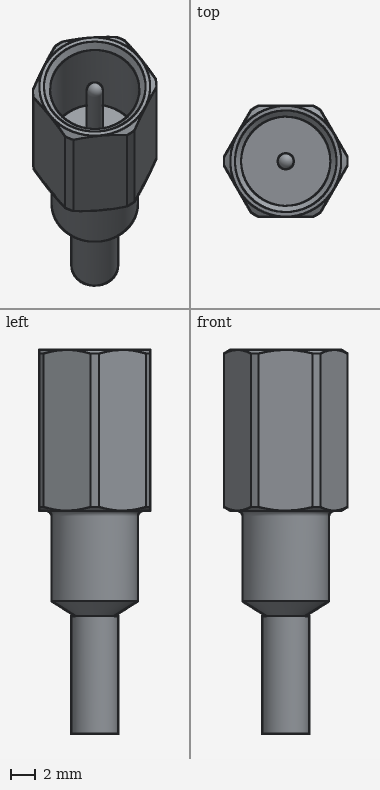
import cadquery as cq
import math

total_length = 31.0
cable_length = 9.5
cone_height = 1.2
nut_length = 13.0

nut_side_count = 6
nut_across_flats = 9.0
nut_corner_diameter = 10.0
nut_face_diameter = 8.95
nut_chamfer_angle = 30.0

sleeve_diameter = 7.0
sleeve_fillet_radius = 0.45
cone_tip_diameter = 3.2
cable_diameter = 3.8

bore_diameter = 7.2
bore_mouth_diameter = 8.2
bore_depth = 10.0
pin_diameter = 1.3

nut_base_z = total_length - nut_length
cone_top_z = cable_length + cone_height
bore_floor_z = total_length - bore_depth


def revolve_around_z(profile):
    """Turn a half profile drawn in the XZ plane a full revolution about Z."""
    return profile.close().revolve(360, (0, 0, 0), (0, 1, 0))


def make_nut():
    """Hexagonal prism with turned corners and chamfered end faces."""
    across_corners = nut_across_flats / math.cos(math.pi / nut_side_count)
    hexagon = (
        cq.Workplane("XY", origin=(0, 0, nut_base_z))
        .polygon(nut_side_count, across_corners)
        .extrude(nut_length)
    )
    corner_radius = nut_corner_diameter / 2
    face_radius = nut_face_diameter / 2
    chamfer_height = (corner_radius - face_radius) * math.tan(math.radians(nut_chamfer_angle))
    turned_envelope = revolve_around_z(
        cq.Workplane("XZ")
        .moveTo(0, nut_base_z)
        .lineTo(face_radius, nut_base_z)
        .lineTo(corner_radius, nut_base_z + chamfer_height)
        .lineTo(corner_radius, total_length - chamfer_height)
        .lineTo(face_radius, total_length)
        .lineTo(0, total_length)
    )
    return hexagon.intersect(turned_envelope)


def make_sleeve():
    """Cylindrical sleeve, coned at the cable end and flared where it meets the nut."""
    radius = sleeve_diameter / 2
    arc_mid_offset = sleeve_fillet_radius * (1 - math.sqrt(0.5))
    return revolve_around_z(
        cq.Workplane("XZ")
        .moveTo(0, cable_length)
        .lineTo(cone_tip_diameter / 2, cable_length)
        .lineTo(radius, cone_top_z)
        .lineTo(radius, nut_base_z - sleeve_fillet_radius)
        .threePointArc(
            (radius + arc_mid_offset, nut_base_z - arc_mid_offset),
            (radius + sleeve_fillet_radius, nut_base_z),
        )
        .lineTo(0, nut_base_z)
    )


def make_cable():
    """Plain cylinder leaving the tip of the cone."""
    return cq.Workplane("XY").circle(cable_diameter / 2).extrude(cable_length)


def make_bore():
    """Blind socket with a 45 degree lead-in at its mouth."""
    bore_radius = bore_diameter / 2
    mouth_radius = bore_mouth_diameter / 2
    lead_in_depth = mouth_radius - bore_radius
    return revolve_around_z(
        cq.Workplane("XZ")
        .moveTo(0, bore_floor_z)
        .lineTo(bore_radius, bore_floor_z)
        .lineTo(bore_radius, total_length - lead_in_depth)
        .lineTo(mouth_radius, total_length)
        .lineTo(0, total_length)
    )


def make_pin():
    """Contact pin standing on the socket floor, its hemispherical tip level with the nut face."""
    radius = pin_diameter / 2
    tip_centre_z = total_length - radius
    shaft = (
        cq.Workplane("XY", origin=(0, 0, bore_floor_z))
        .circle(radius)
        .extrude(tip_centre_z - bore_floor_z)
    )
    tip = cq.Workplane("XY", origin=(0, 0, tip_centre_z)).sphere(radius)
    return shaft.union(tip)


body = make_nut().union(make_sleeve()).union(make_cable())
result = body.cut(make_bore()).union(make_pin())